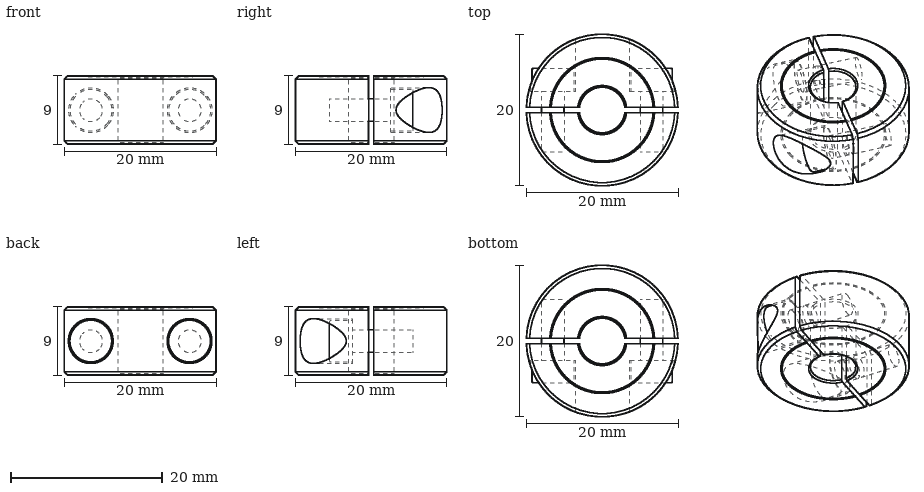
import cadquery as cq

OUTER_DIAMETER = 20.0
WIDTH = 9.0
BORE_DIAMETER = 6.0
OUTER_CHAMFER = 0.45
BORE_CHAMFER = 0.25
GAP = 0.68

GROOVE_RADIUS = 6.82
GROOVE_SECTION_RADIUS = 0.1

SCREW_OFFSET = 6.5
SHANK_DIAMETER = 3.0
SHANK_TIP_Y = -5.5
HEAD_DIAMETER = 5.5
HEAD_SEAT_Y = 2.5
HEAD_HEIGHT = 3.0
HEAD_FILLET = 0.2
COUNTERBORE_DIAMETER = 5.9

OUTER_RADIUS = OUTER_DIAMETER / 2
BORE_RADIUS = BORE_DIAMETER / 2
HALF_WIDTH = WIDTH / 2
SCREW_XS = (-SCREW_OFFSET, SCREW_OFFSET)
SHANK_LENGTH = HEAD_SEAT_Y - SHANK_TIP_Y


def rod_along_y(x, diameter, start_y, length):
    """Cylinder parallel to Y at the given X, running from start_y towards +Y."""
    return cq.Workplane("XZ", origin=(x, start_y, 0)).circle(diameter / 2).extrude(-length)


def collar_half(side):
    """Half ring on the +Y (side = 1) or -Y (side = -1) side of the gap."""
    profile = (
        cq.Workplane("YZ")
        .moveTo(side * BORE_RADIUS, -HALF_WIDTH + BORE_CHAMFER)
        .lineTo(side * (BORE_RADIUS + BORE_CHAMFER), -HALF_WIDTH)
        .lineTo(side * (OUTER_RADIUS - OUTER_CHAMFER), -HALF_WIDTH)
        .lineTo(side * OUTER_RADIUS, -HALF_WIDTH + OUTER_CHAMFER)
        .lineTo(side * OUTER_RADIUS, HALF_WIDTH - OUTER_CHAMFER)
        .lineTo(side * (OUTER_RADIUS - OUTER_CHAMFER), HALF_WIDTH)
        .lineTo(side * (BORE_RADIUS + BORE_CHAMFER), HALF_WIDTH)
        .lineTo(side * BORE_RADIUS, HALF_WIDTH - BORE_CHAMFER)
        .close()
    )
    ring = profile.revolve(360, (0, 0, 0), (0, 1, 0))
    for face_z in (-HALF_WIDTH, HALF_WIDTH):
        groove = cq.Solid.makeTorus(GROOVE_RADIUS, GROOVE_SECTION_RADIUS, cq.Vector(0, 0, face_z))
        ring = ring.cut(cq.Workplane(obj=groove))
    half_block = cq.Workplane("XY").box(OUTER_DIAMETER, OUTER_DIAMETER, WIDTH)
    half_block = half_block.translate((0, side * (OUTER_DIAMETER + GAP) / 2, 0))
    return ring.intersect(half_block)


def cut_screw_holes(half):
    """Shank holes that fit the screws, with counterbores open towards +Y."""
    for x in SCREW_XS:
        shank_hole = rod_along_y(x, SHANK_DIAMETER, SHANK_TIP_Y, SHANK_LENGTH)
        counterbore = rod_along_y(x, COUNTERBORE_DIAMETER, HEAD_SEAT_Y, OUTER_RADIUS - HEAD_SEAT_Y)
        half = half.cut(shank_hole).cut(counterbore)
    return half


def clamp_screw(x):
    """Cap screw with its head towards +Y."""
    head = rod_along_y(x, HEAD_DIAMETER, HEAD_SEAT_Y, HEAD_HEIGHT).faces(">Y").fillet(HEAD_FILLET)
    shank = rod_along_y(x, SHANK_DIAMETER, SHANK_TIP_Y, SHANK_LENGTH)
    return head.union(shank)


head_side_half = cut_screw_holes(collar_half(1))
thread_side_half = cut_screw_holes(collar_half(-1))
clamp_screws = [clamp_screw(x) for x in SCREW_XS]

result = cq.Compound.makeCompound(
    [head_side_half.val(), thread_side_half.val()] + [screw.val() for screw in clamp_screws]
)